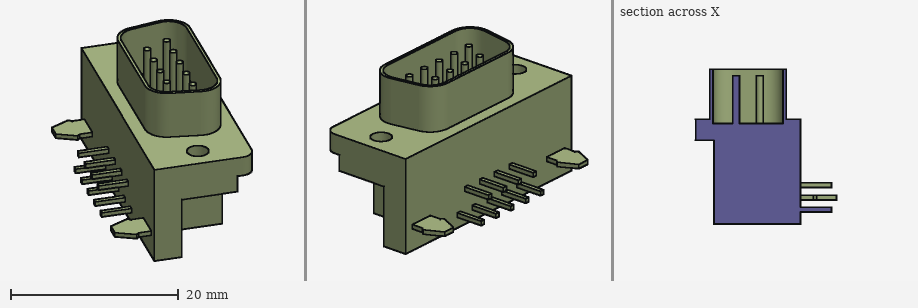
import cadquery as cq
import math


body_width = 30.9
flange_depth = 12.55
body_height = 12.5
flange_thickness = 2.53
flange_corner_radius = 1.5
core_depth = 10.35
core_width = 18.0
wing_underside = 7.88
board_wall = 3.43

mating_y = 6.27
hole_spacing = 25.0
hole_diameter = 2.63

shell_height = 6.0
shell_width = 17.98
shell_depth = 9.15
shell_corner_radius = 2.7
shell_wall = 0.4
socket_recess = 0.5
shell_slant = math.radians(10)
rim_z = body_height + shell_height
socket_floor_z = body_height - socket_recess

long_row_count = 5
short_row_count = 4
long_row_span = 11.05
pin_pitch = long_row_span / (long_row_count - 1)
pin_row_spacing = 2.85
pin_diameter = 0.83
pin_setback = 0.8
lead_side = 0.6
lead_length = 3.7
lead_middle_z = 3.18
lead_row_spacing = 2.95

clip_z = 3.15
clip_thickness = 0.6
clip_width = 3.35
clip_barb_width = 4.0
clip_tip_width = 1.67
clip_neck_length = 1.55
clip_barb_length = 1.92
clip_length = 4.3


def block(width, depth, bottom, top):
    """Box centred in X that starts at the board face."""
    return cq.Workplane("XY", origin=(0, 0, bottom)).box(
        width, depth, top - bottom, centered=(True, False, False)
    )


def make_housing():
    flange = block(body_width, flange_depth, body_height - flange_thickness, body_height)
    flange = flange.edges("|Z and >Y").fillet(flange_corner_radius)
    wings = block(body_width, core_depth, wing_underside, body_height)
    core = block(core_width, core_depth, 0, body_height)
    wall = block(body_width, board_wall, 0, body_height)
    holes = (
        cq.Workplane("XY")
        .pushPoints([(-hole_spacing / 2, mating_y), (hole_spacing / 2, mating_y)])
        .circle(hole_diameter / 2)
        .extrude(body_height)
    )
    return flange.union(wings).union(core).union(wall).cut(holes)


def d_prism(inset, bottom):
    """Round-cornered trapezoid prism up to the rim, drawn in by inset from the outside of the shell."""
    radius = shell_corner_radius - inset
    half_depth = shell_depth / 2 - inset
    upper_centre_x = shell_width / 2 - shell_corner_radius
    half_top = upper_centre_x + radius / math.cos(shell_slant) + radius * math.tan(shell_slant)
    half_bottom = half_top - 2 * half_depth * math.tan(shell_slant)
    outline = [
        (-half_top, half_depth),
        (half_top, half_depth),
        (half_bottom, -half_depth),
        (-half_bottom, -half_depth),
    ]
    return (
        cq.Workplane("XY", origin=(0, mating_y, bottom))
        .polyline(outline)
        .close()
        .extrude(rim_z - bottom)
        .edges("|Z")
        .fillet(radius)
    )


def make_shelled_housing():
    """Housing and shell, with the socket sunk slightly below the flange face."""
    shell = d_prism(0, body_height)
    socket = d_prism(shell_wall, socket_floor_z)
    return make_housing().union(shell).cut(socket)


def row_positions(count):
    """X positions of a centred row of contacts."""
    return [(i - (count - 1) / 2) * pin_pitch for i in range(count)]


def make_pins():
    long_row_y = mating_y + pin_row_spacing / 2
    short_row_y = mating_y - pin_row_spacing / 2
    points = [(x, long_row_y) for x in row_positions(long_row_count)]
    points += [(x, short_row_y) for x in row_positions(short_row_count)]
    return (
        cq.Workplane("XY", origin=(0, 0, socket_floor_z))
        .pushPoints(points)
        .circle(pin_diameter / 2)
        .extrude(rim_z - pin_setback - socket_floor_z)
    )


def make_leads():
    long_row_z = lead_middle_z - lead_row_spacing / 2
    short_row_z = lead_middle_z + lead_row_spacing / 2
    points = [(x, long_row_z) for x in row_positions(long_row_count)]
    points += [(x, short_row_z) for x in row_positions(short_row_count)]
    return cq.Workplane("XZ").pushPoints(points).rect(lead_side, lead_side).extrude(lead_length)


def make_clip(centre_x):
    """Flat arrow-shaped clip that points away from the board face."""
    half_outline = [
        (clip_width / 2, 0),
        (clip_width / 2, -clip_neck_length),
        (clip_barb_width / 2, -clip_barb_length),
        (clip_tip_width / 2, -clip_length),
    ]
    mirrored = [(-x, y) for x, y in reversed(half_outline)]
    return (
        cq.Workplane("XY", origin=(centre_x, 0, clip_z - clip_thickness / 2))
        .polyline(half_outline + mirrored)
        .close()
        .extrude(clip_thickness)
    )


result = make_shelled_housing().union(make_pins()).union(make_leads())
for side in (-1, 1):
    result = result.union(make_clip(side * hole_spacing / 2))